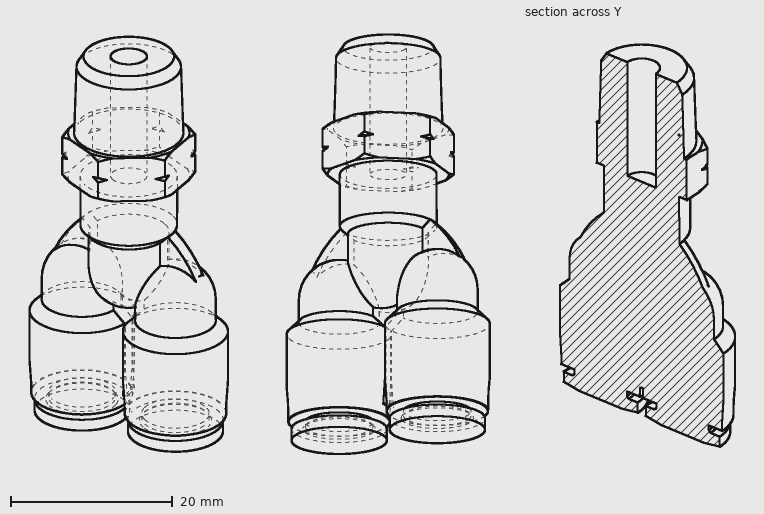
import cadquery as cq
import math


total_height = 50.4
hex_top = 39.9
hex_bottom = 34.0
sleeve_bottom = 27.3
hub_center_z = 21.4
leg_dome_z = 18.5
shoulder_top = 15.6
socket_top = 14.1
taper_top = 7.2
taper_bottom = 4.2
socket_bottom = 2.8
flare_top = 2.2
collar_top = 1.9
collar_rim = 0.4

stud_tip_d = 11.2
stud_thread_d = 12.95
stud_chamfer_length = 1.4
stud_taper = 1 / 16
bore_d = 4.5

hex_corner_d = 16.5
hex_chamfer_d = 15.0
hex_chamfer_angle = 30.0
notch_root_d = 15.5
notch_half_height = 0.32

sleeve_d = 12.0
hub_d = 10.0
leg_neck_d = 10.0
leg_spacing = 13.0
socket_d = 13.0
socket_end_d = 12.6
socket_edge_chamfer = 0.05

collar_neck_d = 8.35
collar_d = 11.8
collar_end_d = 6.85

web_thickness = 2.0
web_root_inset = 0.25


def revolve_profile(profile):
    """Revolve an (r, z) sketch, drawn on the XZ plane, about the Z axis."""
    return profile.close().revolve(360, (0, 0, 0), (0, 1, 0))


def make_stud():
    chamfer_z = total_height - stud_chamfer_length
    root_d = stud_thread_d + stud_taper * (chamfer_z - hex_top)
    profile = (
        cq.Workplane("XZ")
        .moveTo(0, hex_bottom)
        .lineTo(sleeve_d / 2, hex_bottom)
        .lineTo(root_d / 2, hex_top)
        .lineTo(stud_thread_d / 2, chamfer_z)
        .lineTo(stud_tip_d / 2, total_height)
        .lineTo(0, total_height)
    )
    return revolve_profile(profile)


def make_hexagon():
    corner_r = hex_corner_d / 2
    chamfer_r = hex_chamfer_d / 2
    chamfer_drop = (corner_r - chamfer_r) * math.tan(math.radians(hex_chamfer_angle))
    notch_z = (hex_top + hex_bottom) / 2
    prism = (
        cq.Workplane("XY", origin=(0, 0, hex_bottom))
        .transformed(rotate=(0, 0, 90))
        .polygon(6, hex_corner_d)
        .extrude(hex_top - hex_bottom)
    )
    envelope = (
        cq.Workplane("XZ")
        .moveTo(0, hex_bottom)
        .lineTo(chamfer_r, hex_bottom)
        .lineTo(corner_r, hex_bottom + chamfer_drop)
        .lineTo(corner_r, notch_z - notch_half_height)
        .lineTo(notch_root_d / 2, notch_z)
        .lineTo(corner_r, notch_z + notch_half_height)
        .lineTo(corner_r, hex_top - chamfer_drop)
        .lineTo(chamfer_r, hex_top)
        .lineTo(0, hex_top)
    )
    return prism.intersect(revolve_profile(envelope))


def make_hub():
    sleeve_r = sleeve_d / 2
    hub_r = hub_d / 2
    profile = (
        cq.Workplane("XZ")
        .moveTo(0, hub_center_z - hub_r)
        .radiusArc((hub_r, hub_center_z), -hub_r)
        .lineTo(hub_r, sleeve_bottom - (sleeve_r - hub_r))
        .lineTo(sleeve_r, sleeve_bottom)
        .lineTo(sleeve_r, hex_bottom)
        .lineTo(0, hex_bottom)
    )
    return revolve_profile(profile)


def make_leg(center_x):
    neck_r = leg_neck_d / 2
    socket_r = socket_d / 2
    socket_end_r = socket_end_d / 2
    collar_neck_r = collar_neck_d / 2
    flare_r = collar_neck_r + (flare_top - collar_top)
    profile = (
        cq.Workplane("XZ")
        .moveTo(0, 0)
        .lineTo(collar_end_d / 2, 0)
        .lineTo(collar_d / 2, collar_rim)
        .lineTo(collar_d / 2, collar_top)
        .lineTo(flare_r, collar_top)
        .lineTo(collar_neck_r, flare_top)
        .lineTo(collar_neck_r, socket_bottom)
        .lineTo(socket_end_r - socket_edge_chamfer, socket_bottom)
        .lineTo(socket_end_r, socket_bottom + socket_edge_chamfer)
        .lineTo(socket_end_r, taper_bottom)
        .lineTo(socket_r, taper_top)
        .lineTo(socket_r, socket_top)
        .lineTo(neck_r, shoulder_top)
        .lineTo(neck_r, leg_dome_z)
        .radiusArc((0, leg_dome_z + neck_r), -neck_r)
    )
    return revolve_profile(profile).translate((center_x, 0, 0))


def make_web():
    leg_x = leg_spacing / 2
    top_x = sleeve_d / 2
    root_x = leg_x + leg_neck_d / 2 - web_root_inset
    run = root_x - top_x
    rise = sleeve_bottom - shoulder_top
    edge_r = (run**2 + rise**2) / (2 * run)
    return (
        cq.Workplane("XZ")
        .moveTo(-leg_x, taper_bottom)
        .lineTo(leg_x, taper_bottom)
        .lineTo(leg_x, shoulder_top)
        .lineTo(root_x, shoulder_top)
        .radiusArc((top_x, sleeve_bottom), -edge_r)
        .lineTo(-top_x, sleeve_bottom)
        .radiusArc((-root_x, shoulder_top), -edge_r)
        .lineTo(-leg_x, shoulder_top)
        .close()
        .extrude(web_thickness / 2, both=True)
    )


def make_bore():
    """Blind bore through the threaded stud and the hexagon."""
    return (
        cq.Workplane("XY", origin=(0, 0, hex_bottom))
        .circle(bore_d / 2)
        .extrude(total_height - hex_bottom)
    )


body = make_hub().union(make_web())
for side in (-1, 1):
    body = body.union(make_leg(side * leg_spacing / 2))
body = body.union(make_hexagon()).union(make_stud())
result = body.cut(make_bore())